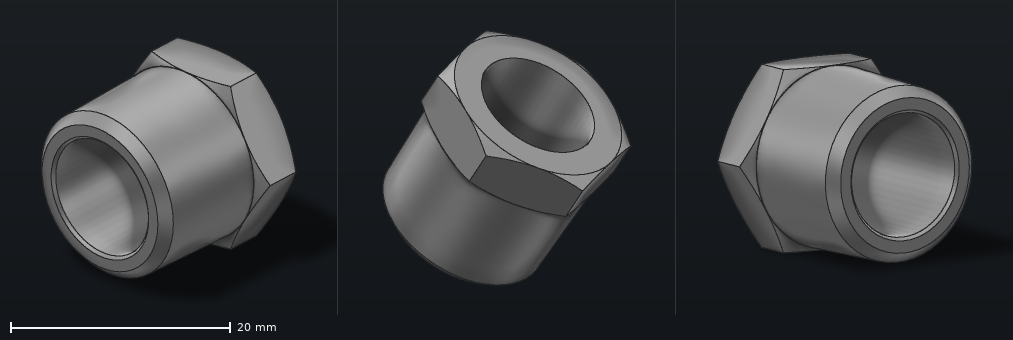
import cadquery as cq
import math

corner_diameter = 19.63
flat_radius = corner_diameter / 2 * math.cos(math.radians(30))
head_thickness = 5.0
head_chamfer_angle = 30.0

total_length = 16.5
spigot_root_radius = 8.46
spigot_end_radius = 8.19
spigot_chamfer = 1.0

bore_radius = 5.75
bore_chamfer = 0.3

front_y = -total_length
head_front_y = -head_thickness


def revolve_about_y(profile):
    """Revolve (radius, y) points about the Y axis."""
    return cq.Workplane("XY").polyline(profile).close().revolve(360, (0, 0, 0), (0, 1, 0))


def make_head():
    """Hexagonal prism whose corners are trimmed by a cone on both faces."""
    prism = cq.Workplane("XZ").polygon(6, corner_diameter).extrude(head_thickness)
    outer_radius = corner_diameter / 2 + 0.2
    drop = (outer_radius - flat_radius) * math.tan(math.radians(head_chamfer_angle))
    envelope = revolve_about_y([
        (0, 0),
        (flat_radius, 0),
        (outer_radius, -drop),
        (outer_radius, head_front_y + drop),
        (flat_radius, head_front_y),
        (0, head_front_y),
    ])
    return prism.intersect(envelope)


def make_spigot():
    """Slightly tapered round body with a chamfered free end."""
    return revolve_about_y([
        (0, head_front_y),
        (spigot_root_radius, head_front_y),
        (spigot_end_radius, front_y + spigot_chamfer),
        (spigot_end_radius - spigot_chamfer, front_y),
        (0, front_y),
    ])


def make_bore():
    """Cutter for the through bore and its lead-in chamfer."""
    return revolve_about_y([
        (0, 0),
        (bore_radius, 0),
        (bore_radius, front_y + bore_chamfer),
        (bore_radius + bore_chamfer, front_y),
        (0, front_y),
    ])


result = make_head().union(make_spigot()).cut(make_bore())